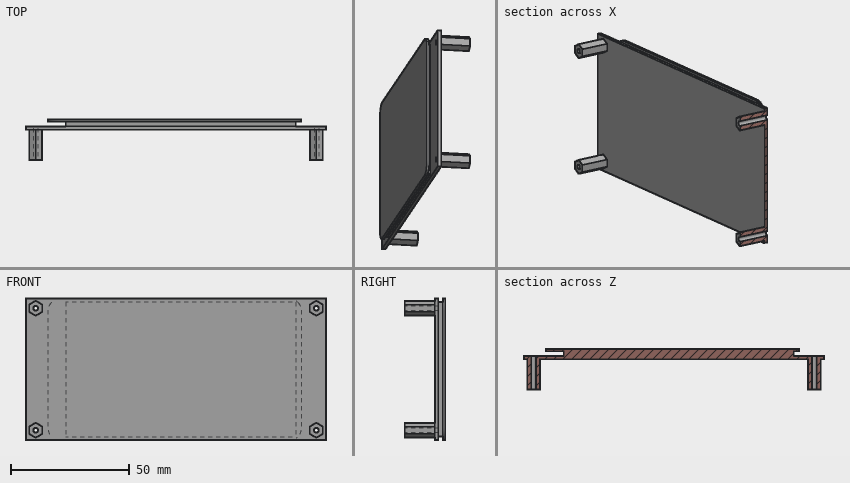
import cadquery as cq
import math

board_length = 127.0
board_height = 60.0
board_thickness = 1.5

standoff_length = 12.7
standoff_flats = 5.5
standoff_corners = standoff_flats / math.cos(math.pi / 6)
standoff_inset = 4.2
bore_diameter = 1.9

module_left = 16.9
module_right = 114.2
module_edge_inset = 1.5
module_thickness = 1.9

glass_left = 9.4
glass_right = 116.3
glass_thickness = 1.0
glass_corner_radius = 5.1

board_back = standoff_length
board_front = board_back + board_thickness
module_front = board_front + module_thickness


def slab(left, right, bottom, top, back, thickness):
    """Rectangular plate standing in XZ, growing toward +Y from its back face."""
    return cq.Workplane("XY").box(right - left, thickness, top - bottom, centered=False).translate(
        (left, back, bottom)
    )


def at_standoffs(back):
    """Workplane facing -Y at the given Y, with a point at each standoff axis."""
    points = [
        (x, z)
        for x in (standoff_inset, board_length - standoff_inset)
        for z in (standoff_inset, board_height - standoff_inset)
    ]
    return cq.Workplane("XZ", origin=(0, back, 0)).pushPoints(points)


def hexagon():
    """Hexagon with corners pointing up and down."""
    return cq.Sketch().regularPolygon(standoff_corners / 2, 6)


board = slab(0, board_length, 0, board_height, board_back, board_thickness)
module = slab(
    module_left,
    module_right,
    module_edge_inset,
    board_height - module_edge_inset,
    board_front,
    module_thickness,
)
glass = slab(glass_left, glass_right, 0, board_height, module_front, glass_thickness)
glass = glass.edges("|Y").fillet(glass_corner_radius)

standoffs = at_standoffs(board_back).placeSketch(hexagon()).extrude(standoff_length)

bores = at_standoffs(board_front).circle(bore_diameter / 2).extrude(board_front)

result = board.union(module).union(glass).union(standoffs).cut(bores)